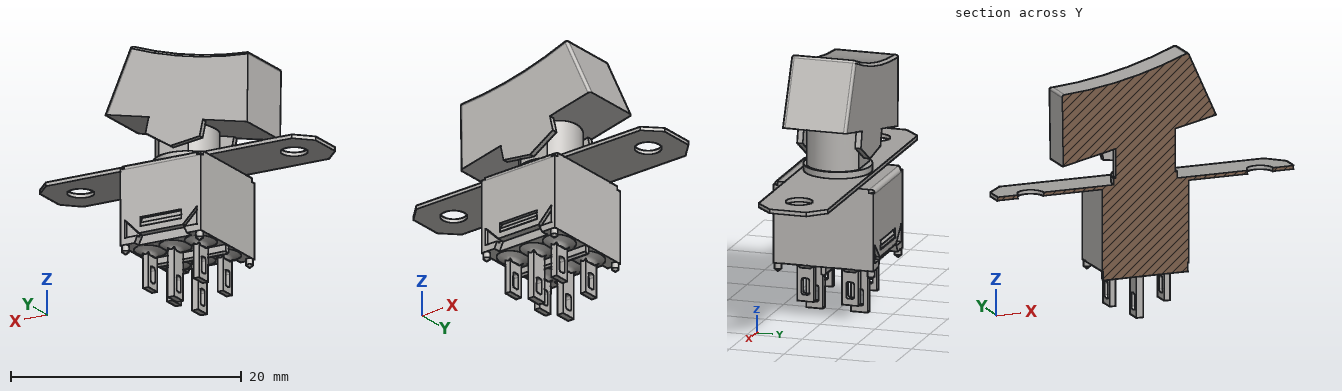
import cadquery as cq


PLATE_LENGTH = 27.8
PLATE_WIDTH = 6.35
PLATE_THICKNESS = 0.35
PLATE_CORNER = 1.5
PLATE_HOLE_DIAMETER = 2.35
PLATE_HOLE_SPACING = 21.52

FLANGE_DIAMETER = 6.0
FLANGE_HEIGHT = 0.58
BUSHING_DIAMETER = 5.62
BUSHING_FLAT_WIDTH = 4.78
BUSHING_TOP = 5.28

ROCKER_TILT = 12.5
ROCKER_TIP_Z = 1.59
ROCKER_WIDTH = 5.85
ROCKER_BASE_LENGTH = 14.75
ROCKER_TOP_LENGTH = 12.13
ROCKER_HEIGHT = 6.35
ROCKER_DISH = 0.5
ROCKER_EDGE_RADIUS = 0.25
FOOT_LENGTH = 5.6
FOOT_POINT_HEIGHT = 1.0
FOOT_HEIGHT = 2.5
FOOT_GAP = BUSHING_FLAT_WIDTH

BODY_LENGTH = 8.12
BODY_WIDTH = 9.15
BODY_HEIGHT = 7.37
BODY_EDGE_RADIUS = 0.42
CORNER_RELIEF = 0.42
CORNER_RELIEF_DEPTH = 0.33
SIDE_WALL = 0.42

RECESS_DEPTH = 0.35
WINDOW_TOP_Z = -5.12
WINDOW_BOTTOM_Z = -6.73
NOTCH_TOP_Z = -6.54
NOTCH_TOP_LENGTH = 4.5
NOTCH_BOTTOM_LENGTH = 5.28
NOTCH_DEPTH = 0.72
SLOT_LENGTH = 4.12
SLOT_TOP_Z = -5.1
SLOT_RAMP_HEIGHT = 0.5
SLOT_HEIGHT = 0.83
SLOT_LIP_DEPTH = 0.05

PEG_DIAMETER = 0.65
PEG_LENGTH = 0.53
PEG_CONE_HEIGHT = 0.28
RIB_LENGTH = 8.0
RIB_WIDTH = 0.45
RIB_HEIGHT = 0.8
RIB_EDGE_CHAMFER = 0.2

ROW_SPACING = 4.1
TERMINAL_PITCH = 2.55
TERMINAL_WIDTH = 1.53
OUTER_TERMINAL_THICKNESS = 0.55
CENTER_TERMINAL_THICKNESS = 0.65
OUTER_TERMINAL_BOTTOM_Z = -10.95
CENTER_TERMINAL_BOTTOM_Z = -12.25
EYE_WIDTH = 0.72
EYE_HEIGHT = 1.5
EYE_CORNER_RADIUS = 0.22
EYE_MARGIN = 0.58
SEAL_HEIGHT = 0.58
SEAL_BASE_LENGTH = 2.67
SEAL_BASE_WIDTH = 3.25
SEAL_WAIST_DEPTH = 0.22
SEAL_WAIST_LENGTH = 1.45
SEAL_WAIST_WIDTH = 2.17
SEAL_TIP_LENGTH = 0.72
SEAL_TIP_WIDTH = 1.45


def box(length, width, bottom, top):
    """Box centred on the Z axis between two heights."""
    return cq.Workplane("XY").workplane(offset=bottom).rect(length, width).extrude(top - bottom)


def mirrored_pair(shape):
    """The shape together with its mirror image across the XZ plane."""
    return shape.union(shape.mirror("XZ"))


def make_plate():
    return (
        cq.Workplane("XY")
        .rect(PLATE_LENGTH, PLATE_WIDTH)
        .extrude(PLATE_THICKNESS)
        .edges("|Z")
        .chamfer(PLATE_CORNER)
        .faces(">Z")
        .workplane()
        .rarray(PLATE_HOLE_SPACING, 0.28, 2, 1)
        .hole(PLATE_HOLE_DIAMETER)
    )


def make_bushing():
    flange = cq.Workplane("XY").circle(FLANGE_DIAMETER / 2).extrude(PLATE_THICKNESS + FLANGE_HEIGHT)
    barrel = cq.Workplane("XY").circle(BUSHING_DIAMETER / 2).extrude(BUSHING_TOP)
    flats = box(BUSHING_DIAMETER, BUSHING_FLAT_WIDTH, 0, BUSHING_TOP)
    return flange.union(barrel.intersect(flats))


def make_rocker():
    half_base = ROCKER_BASE_LENGTH / 2
    half_top = ROCKER_TOP_LENGTH / 2
    half_foot = FOOT_LENGTH / 2
    top_z = FOOT_HEIGHT + ROCKER_HEIGHT

    cap = (
        cq.Workplane("XZ")
        .moveTo(-half_base, FOOT_HEIGHT)
        .lineTo(half_base, FOOT_HEIGHT)
        .lineTo(half_top, top_z)
        .threePointArc((0, top_z - ROCKER_DISH), (-half_top, top_z))
        .close()
        .extrude(ROCKER_WIDTH / 2, both=True)
    )
    front_edges = cap.faces("<Y").edges("not(|X)")
    back_edges = cap.faces(">Y").edges("not(|X or <X)")
    top_ends = cap.edges("|Y").edges(">Z")
    cap = front_edges.add(back_edges).add(top_ends).fillet(ROCKER_EDGE_RADIUS)

    feet = (
        cq.Workplane("XZ")
        .polyline([
            (0, 0),
            (half_foot, FOOT_POINT_HEIGHT),
            (half_foot, FOOT_HEIGHT),
            (-half_foot, FOOT_HEIGHT),
            (-half_foot, FOOT_POINT_HEIGHT),
        ])
        .close()
        .extrude(ROCKER_WIDTH / 2, both=True)
        .cut(box(FOOT_LENGTH, FOOT_GAP, 0, FOOT_HEIGHT))
    )
    rocker = cap.union(feet)
    return rocker.rotate((0, 0, 0), (0, -1, 0), ROCKER_TILT).translate((0, 0, ROCKER_TIP_Z))


def face_recess(points, depth):
    """Cutter with an XZ outline that sinks into the -Y face of the body."""
    return cq.Workplane("XZ", origin=(0, -BODY_WIDTH / 2, 0)).polyline(points).close().extrude(-depth)


def make_body():
    body = box(BODY_LENGTH, BODY_WIDTH, -BODY_HEIGHT, 0)
    body = body.edges("|X and >Z").fillet(BODY_EDGE_RADIUS)

    for side_x in (-1, 1):
        for side_y in (-1, 1):
            corner_x = side_x * BODY_LENGTH / 2
            corner_y = side_y * BODY_WIDTH / 2
            relief = (
                cq.Workplane("XY")
                .polyline([
                    (corner_x, corner_y),
                    (corner_x - side_x * CORNER_RELIEF, corner_y),
                    (corner_x, corner_y - side_y * CORNER_RELIEF),
                ])
                .close()
                .extrude(-CORNER_RELIEF_DEPTH)
            )
            body = body.cut(relief)

    window_x = BODY_LENGTH / 2 - SIDE_WALL
    notch_x = NOTCH_TOP_LENGTH / 2
    for side in (-1, 1):
        window = face_recess(
            [
                (side * window_x, WINDOW_TOP_Z),
                (side * notch_x, NOTCH_TOP_Z),
                (side * notch_x, WINDOW_BOTTOM_Z),
                (side * window_x, WINDOW_BOTTOM_Z),
            ],
            RECESS_DEPTH,
        )
        body = body.cut(mirrored_pair(window))

    notch = face_recess(
        [
            (-notch_x, NOTCH_TOP_Z),
            (notch_x, NOTCH_TOP_Z),
            (NOTCH_BOTTOM_LENGTH / 2, -BODY_HEIGHT),
            (-NOTCH_BOTTOM_LENGTH / 2, -BODY_HEIGHT),
        ],
        NOTCH_DEPTH,
    )
    body = body.cut(mirrored_pair(notch))

    latch_slot = (
        cq.Workplane("YZ")
        .polyline([
            (-BODY_WIDTH / 2, SLOT_TOP_Z),
            (-BODY_WIDTH / 2 + RECESS_DEPTH, SLOT_TOP_Z),
            (-BODY_WIDTH / 2 + SLOT_LIP_DEPTH, SLOT_TOP_Z - SLOT_RAMP_HEIGHT),
            (-BODY_WIDTH / 2 + SLOT_LIP_DEPTH, SLOT_TOP_Z - SLOT_HEIGHT),
            (-BODY_WIDTH / 2, SLOT_TOP_Z - SLOT_HEIGHT),
        ])
        .close()
        .extrude(SLOT_LENGTH / 2, both=True)
    )
    return body.cut(mirrored_pair(latch_slot))


def make_pegs():
    radius = PEG_DIAMETER / 2
    profile = [
        (0, 0),
        (radius, 0),
        (radius, -PEG_LENGTH),
        (0, -PEG_LENGTH - PEG_CONE_HEIGHT),
    ]
    peg = cq.Workplane("XZ").polyline(profile).close().revolve(360, (0, 0), (0, 1))
    pegs = cq.Workplane("XY")
    for side_x in (-1, 1):
        for side_y in (-1, 1):
            peg_x = side_x * (BODY_LENGTH / 2 - radius)
            peg_y = side_y * (BODY_WIDTH / 2 - radius)
            pegs = pegs.union(peg.translate((peg_x, peg_y, -BODY_HEIGHT)))
    return pegs


def make_rib():
    rib = box(RIB_LENGTH, RIB_WIDTH, -BODY_HEIGHT - RIB_HEIGHT, -BODY_HEIGHT)
    return rib.edges("|X and <Z").chamfer(RIB_EDGE_CHAMFER)


def make_terminal(thickness, bottom_z):
    """Terminal blade with a wire eye through its thickness."""
    blade = box(thickness, TERMINAL_WIDTH, bottom_z, -BODY_HEIGHT)
    eye_bottom = bottom_z + EYE_MARGIN
    eye = box(thickness, EYE_WIDTH, eye_bottom, eye_bottom + EYE_HEIGHT)
    return blade.cut(eye.edges("|X").fillet(EYE_CORNER_RADIUS))


def make_seal():
    """Concave oval skirt of sealant around the root of a terminal."""
    return (
        cq.Workplane("XY", origin=(0, 0, -BODY_HEIGHT))
        .ellipse(SEAL_BASE_LENGTH / 2, SEAL_BASE_WIDTH / 2)
        .workplane(offset=-SEAL_WAIST_DEPTH)
        .ellipse(SEAL_WAIST_LENGTH / 2, SEAL_WAIST_WIDTH / 2)
        .workplane(offset=SEAL_WAIST_DEPTH - SEAL_HEIGHT)
        .ellipse(SEAL_TIP_LENGTH / 2, SEAL_TIP_WIDTH / 2)
        .loft()
    )


def make_terminals():
    outer = make_terminal(OUTER_TERMINAL_THICKNESS, OUTER_TERMINAL_BOTTOM_Z)
    center = make_terminal(CENTER_TERMINAL_THICKNESS, CENTER_TERMINAL_BOTTOM_Z)
    seal = make_seal()
    terminals = cq.Workplane("XY")
    for row in (-1, 1):
        for column in (-1, 0, 1):
            blade = center if column == 0 else outer
            position = (column * TERMINAL_PITCH, row * ROW_SPACING / 2, 0)
            terminals = terminals.union(blade.translate(position))
            terminals = terminals.union(seal.translate(position))
    return terminals


result = (
    make_body()
    .union(make_plate())
    .union(make_bushing())
    .union(make_rocker())
    .union(make_pegs())
    .union(make_rib())
    .union(make_terminals())
)